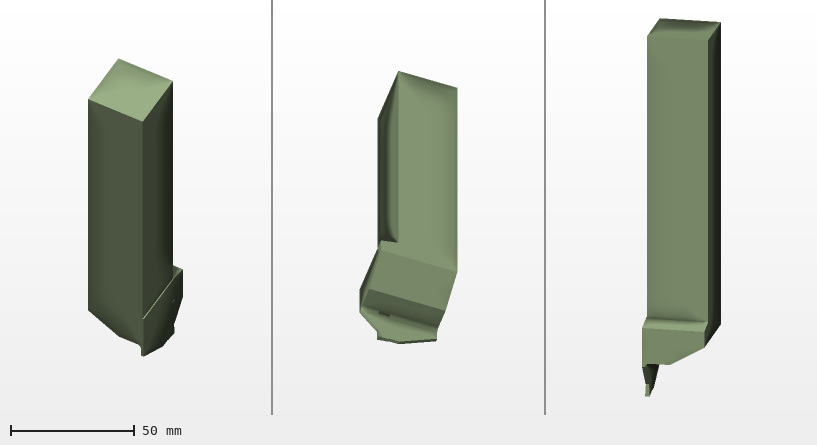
import cadquery as cq

total_height = 152.4
shank_side = 25.3

head_depth = 32.8
head_side_step = 0.5
head_width = shank_side + head_side_step
head_top = 33.0
head_back_top = 31.2
head_bottom = 16.3
chamfer_top = 24.5
chamfer_end_x = 14.2

blade_thickness = 1.4
blade_left = head_width - blade_thickness
blade_fillet = 1.5
blade_back_z = head_bottom - blade_fillet
blade_front_z = 10.4
blade_bottom_z = 0.9
blade_bottom_front_y = 16.0

insert_length = 20.3
insert_front_y = 20.5
insert_edge_y = 25.3
insert_middle_y = 26.2
neck_end = 5.3
neck_rise = 0.8
neck_middle = neck_end + neck_rise
end_relief = 0.5
corner_flare = 0.3
flare_height = 4.9
flare_depth = 2.5


def side_plate(points, left, right):
    """Extrude a (Y, Z) outline between two X positions."""
    return cq.Workplane("YZ", origin=(left, 0, 0)).polyline(points).close().extrude(right - left)


def make_flare(face_x, tip_x):
    """Pyramid that widens one side of the lower cutting corner."""
    tip = cq.Vector(tip_x, insert_edge_y, 0)
    relief_z = end_relief * flare_depth / (insert_edge_y - insert_front_y)
    base = [
        cq.Vector(face_x, insert_edge_y, 0),
        cq.Vector(face_x, insert_edge_y, flare_height),
        cq.Vector(face_x, insert_edge_y - flare_depth, relief_z),
    ]
    triangles = [base] + [[base[i], base[(i + 1) % 3], tip] for i in range(3)]
    faces = [cq.Face.makeFromWires(cq.Wire.makePolygon(corners, close=True)) for corners in triangles]
    return cq.Workplane(cq.Solid.makeSolid(cq.Shell.makeShell(faces)).fix())


def make_insert():
    middle_z = insert_length / 2
    half = side_plate(
        [
            (insert_front_y, middle_z),
            (insert_front_y, end_relief),
            (insert_edge_y, 0),
            (insert_edge_y, neck_end),
            (insert_middle_y, neck_middle),
            (insert_middle_y, middle_z),
        ],
        blade_left,
        head_width,
    )
    half = half.union(make_flare(blade_left, blade_left - corner_flare))
    half = half.union(make_flare(head_width, head_width + corner_flare))
    return half.union(half.mirror("XY", (0, 0, middle_z))).clean()


def make_head():
    """Head with its long bottom chamfer, sloped back shoulder and rounded blade root."""
    front = (
        cq.Workplane("XZ")
        .moveTo(0, head_top)
        .lineTo(0, chamfer_top)
        .lineTo(chamfer_end_x, head_bottom)
        .lineTo(blade_left - blade_fillet, head_bottom)
        .radiusArc((blade_left, blade_back_z), blade_fillet)
        .lineTo(head_width, blade_back_z)
        .lineTo(head_width, head_top)
        .close()
        .extrude(-head_depth)
    )
    outline = [(0, 0), (head_depth, 0), (head_depth, head_back_top), (shank_side, head_top), (0, head_top)]
    return front.intersect(side_plate(outline, 0, head_width))


def make_blade():
    return side_plate(
        [
            (0, blade_back_z),
            (head_depth, blade_back_z),
            (insert_middle_y, neck_middle),
            (insert_front_y, neck_middle),
            (insert_front_y, blade_bottom_z),
            (blade_bottom_front_y, blade_bottom_z),
            (0, blade_front_z),
        ],
        blade_left,
        head_width,
    )


def make_root_relief():
    """Clearance through the blade root fillet beside the insert."""
    return side_plate(
        [
            (insert_front_y, blade_back_z),
            (insert_edge_y, blade_back_z),
            (insert_edge_y, head_bottom),
            (insert_front_y, head_bottom),
        ],
        blade_left - blade_fillet,
        blade_left,
    )


def make_holder(insert):
    shank = cq.Workplane("XY", origin=(0, 0, chamfer_top)).box(
        shank_side, shank_side, total_height - chamfer_top, centered=False
    )
    holder = shank.union(make_head()).union(make_blade())
    return holder.cut(make_root_relief()).cut(insert)


cutting_insert = make_insert()
tool_holder = make_holder(cutting_insert)
result = cq.Compound.makeCompound([tool_holder.val(), cutting_insert.val()])